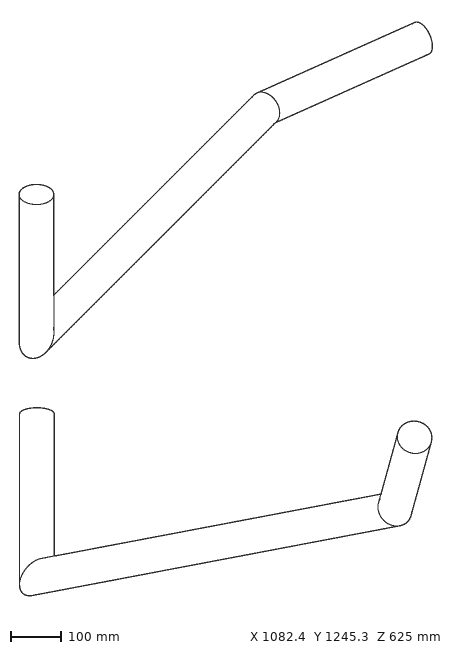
import cadquery as cq

rod_diameter = 70.0
foot_end = cq.Vector(-117.0, 378.0, 0)
bend = cq.Vector(0, 0, 0)
corner = cq.Vector(897, -822, 240.0)
post_top_height = 590.0

rod_radius = rod_diameter / 2
post_top = cq.Vector(corner.x, corner.y, post_top_height)

mitre_allowance = 2 * rod_diameter
waste_block_size = 4 * rod_diameter


def rod_between(start, end, extend_start, extend_end):
    """Round rod along the line from start to end, with optional extra length at each end."""
    direction = (end - start).normalized()
    first = start - direction * extend_start
    length = (end - start).Length + extend_start + extend_end
    return cq.Workplane(cq.Plane(first, normal=direction)).circle(rod_radius).extrude(length)


def mitre_waste(joint, before, after):
    """Block on the 'after' side of the plane that halves the angle at a joint."""
    normal = (joint - before).normalized() + (after - joint).normalized()
    plane = cq.Plane(joint, normal=normal)
    return cq.Workplane(plane).rect(waste_block_size, waste_block_size).extrude(waste_block_size)


foot = rod_between(foot_end, bend, 0, mitre_allowance).cut(mitre_waste(bend, foot_end, corner))

arm = rod_between(bend, corner, mitre_allowance, mitre_allowance)
arm = arm.cut(mitre_waste(bend, corner, foot_end))
arm = arm.cut(mitre_waste(corner, bend, post_top))

post = rod_between(corner, post_top, mitre_allowance, 0).cut(mitre_waste(corner, post_top, bend))

result = cq.Compound.makeCompound([foot.val(), arm.val(), post.val()])